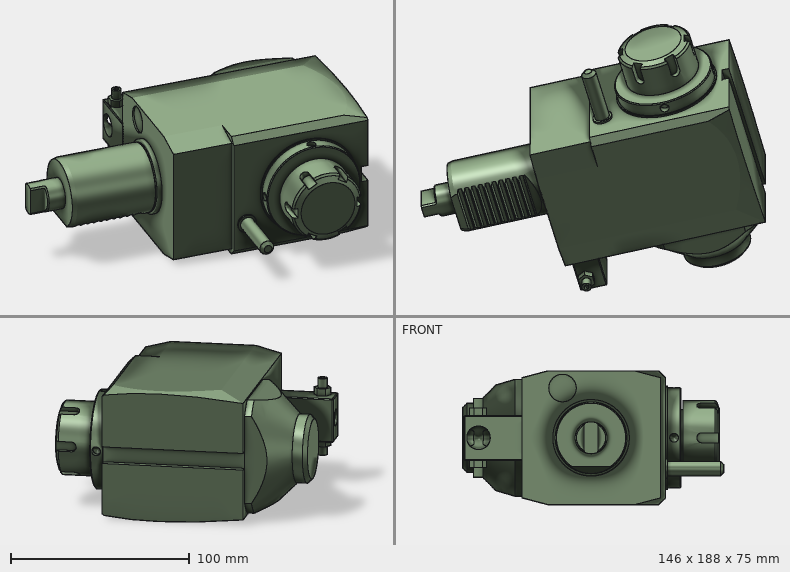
import cadquery as cq
import math


HOUSING_DEPTH = 115.8
HALF_HEIGHT = 75.0 / 2
SIDE_HALF_HEIGHT = 33.7
LEFT_X = -38.7
LEFT_BEVEL_X = -24.0
RIGHT_X = 41.7
RIGHT_BEVEL = 4.0
STEP_DEPTH = 35.2
REAR_CREST = (12.5, 36.8)
REAR_RIGHT_Z = 34.5
REAR_RUN = 26.3
REAR_SLOPE = 0.18
KEYWAY_WIDTH = 9.5
KEYWAY_DEPTH = 4.0
RECESS_X = -16.0
RECESS_Z = 27.8
RECESS_RADIUS = 7.7
RECESS_DEPTH = 1.0

SPINDLE_Y = 79.9
HOOD_RADIUS = 40.2
HOOD_RIM = 4.0
HOOD_TIP_RADIUS = 19.4
HOOD_LENGTH = 33.0
HOOD_TIP_CHAMFER = 2.5
HOOD_FLAT_Z = 32.7
HOOD_FLAT_TILT = 16.5
HOOD_REAR_FLAT = 31.4

FLANGE_RADIUS = 29.0
FLANGE_THICKNESS = 1.0
RING_RADIUS = 56.2 / 2
RING_WIDTH = 7.5
RING_CHAMFER = 0.5
RING_HOLE_RADIUS = 2.5
RING_HOLE_DEPTH = 3.8
RING_HOLE_CONE = 1.5
RING_HOLES = 4
NECK_RADIUS = 16.0
NECK_WIDTH = 1.1
NUT_RADIUS = 42.0 / 2
NUT_WIDTH = 20.5
NUT_NOSE_RADIUS = 16.2
NUT_NOSE_LENGTH = 1.3
NUT_CHAMFER = 1.1
NUT_SLOTS = 6
SLOT_WIDTH = 5.6
SLOT_LENGTH = 12.6
SLOT_DEPTH = 3.2

PIN_Y = 42.9
PIN_Z = -17.3
PIN_RADIUS = 4.1
PIN_END_X = 74.3
PIN_CHAMFER = 1.9
PIN_COLLAR_RADIUS = 5.5
PIN_COLLAR_WIDTH = 1.1

COLLAR_RADIUS = 21.5
COLLAR_WIDTH = 2.5
COLLAR_FILLET = 0.5
GROOVE_RADIUS = 19.7
GROOVE_END = 3.4
SHANK_RADIUS = 20.1
SHANK_LENGTH = 53.2
SHANK_CHAMFER_LENGTH = 2.8
SHANK_CHAMFER = 0.8
RACK_Z = -16.2
RACK_ROOT_Z = -14.5
RACK_START = 9.8
RACK_PITCH = 4.0
RACK_NOTCHES = 10
RACK_ROOT_WIDTH = 1.9
DRIVE_RADIUS = 17.9 / 2
DRIVE_LENGTH = 10.5
TANG_THICKNESS = 7.9
TANG_END = 72.2
TANG_FILLET = 0.8
TANG_CHAMFER = 0.8

BLOCK_X = -71.0
BLOCK_FRONT = 0.5
BLOCK_REAR = 15.8
BLOCK_HALF_HEIGHT = 12.6
BLOCK_CHAMFER = 0.5
SCREW_X = -63.2
SCREW_Y = 5.8
SCREW_RADIUS = 2.6
CLAMP_SCREW_TOP = 44.2 / 2
SOCKET_WIDTH = 3.0
SOCKET_DEPTH = 1.9
CLAMP_NUT_TOP = 16.7
CLAMP_NUT_FLATS = 8.3
NOZZLE_X = -63.0
NOZZLE_RADIUS = 6.5
NOZZLE_DEPTH = 7.9
NOZZLE_CONE = 6.5
PORT_Y = 7.5
PORT_RADIUS = 4.7
PORT_DEPTH = 15.5
PASSAGE_RADIUS = 1.3
PASSAGE_DEPTH = 1.9

EMBED = 1.9


def prism_y(points, y_start, y_end):
    """Extrude an XZ outline from y_start to y_end."""
    outline = cq.Workplane("XZ", origin=(0, y_start, 0)).polyline(points).close()
    return outline.extrude(y_start - y_end)


def box(x_range, y_range, z_range):
    """Block between two limits on each axis."""
    sizes = [high - low for low, high in (x_range, y_range, z_range)]
    corner = (x_range[0], y_range[0], z_range[0])
    return cq.Workplane("XY").box(*sizes, centered=False).translate(corner)


def turned_x(profile, y=0, z=0):
    """Solid turned about a line along X; profile is (x, radius) points from start to end."""
    axis_ends = [(x, 0) for x, radius in (profile[-1], profile[0]) if radius > 0]
    points = profile + axis_ends
    solid = cq.Workplane("XY").polyline(points).close().revolve(360, (0, 0), (1, 0))
    return solid.translate((0, y, z))


def turned_y(profile, x=0, z=0):
    """Solid turned about a line along Y; profile is (y, radius) points from start to end."""
    return turned_x(profile).rotate((0, 0, 0), (0, 0, 1), 90).translate((x, 0, z))


def with_mirror(solid):
    """The solid together with its reflection below Z = 0."""
    return solid.union(solid.mirror("XY"))


def rear_crown_cutter():
    """Material above the arched surface that slopes down to the rear face."""
    clearance = HALF_HEIGHT + 2 * EMBED
    left_end = (LEFT_X, SIDE_HALF_HEIGHT)
    right_end = (RIGHT_X, REAR_RIGHT_Z)
    crest_x, crest_z = REAR_CREST

    def halfway(end):
        """Point midway along a flat curve that leaves the crest level and drops to this end."""
        return (crest_x + end[0]) / 2, crest_z - (crest_z - end[1]) / 4

    profile = (
        cq.Workplane("XZ", origin=(0, HOUSING_DEPTH, 0))
        .moveTo(*left_end)
        .spline(
            [halfway(left_end), REAR_CREST, halfway(right_end), right_end],
            includeCurrent=True,
        )
        .lineTo(RIGHT_X, clearance)
        .lineTo(LEFT_X, clearance)
        .close()
    )
    path_end = (HOUSING_DEPTH - REAR_RUN, REAR_RUN * REAR_SLOPE)
    path = cq.Workplane("YZ").moveTo(HOUSING_DEPTH, 0).lineTo(*path_end)
    return profile.sweep(path)


def housing():
    """Bevelled housing, narrower ahead of the step, with a crowned rear and a keyway."""
    right_bevel_x = RIGHT_X - RIGHT_BEVEL
    upper = [
        (LEFT_X, SIDE_HALF_HEIGHT),
        (LEFT_BEVEL_X, HALF_HEIGHT),
        (right_bevel_x, HALF_HEIGHT),
        (RIGHT_X, SIDE_HALF_HEIGHT),
    ]
    lower = [(x, -z) for x, z in reversed(upper)]
    body = prism_y(upper + lower, STEP_DEPTH, HOUSING_DEPTH)

    front_upper = upper[:2] + [(-x, z) for x, z in reversed(upper[:2])]
    front_lower = [(x, -z) for x, z in reversed(front_upper)]
    body = body.union(prism_y(front_upper + front_lower, 0, STEP_DEPTH))

    body = body.cut(with_mirror(rear_crown_cutter()))

    keyway = box(
        (LEFT_X, RIGHT_X),
        (HOUSING_DEPTH - KEYWAY_DEPTH, HOUSING_DEPTH),
        (-KEYWAY_WIDTH / 2, KEYWAY_WIDTH / 2),
    )
    recess = turned_y([(0, RECESS_RADIUS), (RECESS_DEPTH, RECESS_RADIUS)], RECESS_X, RECESS_Z)
    return body.cut(keyway).cut(recess)


def hood():
    """Conical cover on the -X side, flattened above, below and at the rear."""
    tip_x = LEFT_X - HOOD_LENGTH
    rim_x = LEFT_X - HOOD_RIM
    cone_end_x = rim_x - (HOOD_RADIUS - HOOD_TIP_RADIUS)
    cover = turned_x(
        [
            (tip_x, HOOD_TIP_RADIUS - HOOD_TIP_CHAMFER),
            (tip_x + HOOD_TIP_CHAMFER, HOOD_TIP_RADIUS),
            (cone_end_x, HOOD_TIP_RADIUS),
            (rim_x, HOOD_RADIUS),
            (LEFT_X + EMBED, HOOD_RADIUS),
        ],
        SPINDLE_Y,
    )
    tip_flat_z = HOOD_FLAT_Z - (rim_x - tip_x) * math.tan(math.radians(HOOD_FLAT_TILT))
    flat_upper = [(tip_x, tip_flat_z), (rim_x, HOOD_FLAT_Z), (LEFT_X + EMBED, HOOD_FLAT_Z)]
    flat_lower = [(x, -z) for x, z in reversed(flat_upper)]
    envelope = prism_y(flat_upper + flat_lower, SPINDLE_Y - HOOD_RADIUS, SPINDLE_Y + HOOD_REAR_FLAT)
    return cover.intersect(envelope)


def ring_and_nut():
    """Bearing ring with spanner holes and slotted collet nut on the +X side."""
    ring_start = RIGHT_X + FLANGE_THICKNESS
    ring_end = ring_start + RING_WIDTH
    nut_start = ring_end + NECK_WIDTH
    nut_end = nut_start + NUT_WIDTH
    body = turned_x(
        [
            (RIGHT_X - EMBED, FLANGE_RADIUS),
            (ring_start, FLANGE_RADIUS),
            (ring_start, RING_RADIUS),
            (ring_end - RING_CHAMFER, RING_RADIUS),
            (ring_end, RING_RADIUS - RING_CHAMFER),
            (ring_end, NECK_RADIUS),
            (nut_start, NECK_RADIUS),
            (nut_start, NUT_RADIUS),
            (nut_end - NUT_NOSE_LENGTH - NUT_CHAMFER, NUT_RADIUS),
            (nut_end - NUT_NOSE_LENGTH, NUT_RADIUS - NUT_CHAMFER),
            (nut_end, NUT_NOSE_RADIUS),
        ]
    )

    hole_x = ring_start + RING_WIDTH / 2
    bottom = RING_RADIUS - RING_HOLE_DEPTH
    hole = turned_y(
        [
            (-RING_RADIUS, RING_HOLE_RADIUS),
            (-bottom, RING_HOLE_RADIUS),
            (-bottom + RING_HOLE_CONE, 0),
        ],
        hole_x,
    )
    for index in range(RING_HOLES):
        body = body.cut(hole.rotate((0, 0, 0), (1, 0, 0), index * 360 / RING_HOLES))

    end_x = nut_end - SLOT_LENGTH + SLOT_WIDTH / 2
    slot = (
        cq.Workplane("XZ", origin=(0, -NUT_RADIUS + SLOT_DEPTH, 0))
        .moveTo(nut_end, SLOT_WIDTH / 2)
        .lineTo(end_x, SLOT_WIDTH / 2)
        .threePointArc((end_x - SLOT_WIDTH / 2, 0), (end_x, -SLOT_WIDTH / 2))
        .lineTo(nut_end, -SLOT_WIDTH / 2)
        .close()
        .extrude(SLOT_DEPTH)
    )
    for index in range(NUT_SLOTS):
        body = body.cut(slot.rotate((0, 0, 0), (1, 0, 0), index * 360 / NUT_SLOTS))
    return body.translate((0, SPINDLE_Y, 0))


def stop_pin():
    """Pin with a collar, parallel to the spindle."""
    collar_end = RIGHT_X + PIN_COLLAR_WIDTH
    return turned_x(
        [
            (RIGHT_X - EMBED, PIN_COLLAR_RADIUS),
            (collar_end, PIN_COLLAR_RADIUS),
            (collar_end, PIN_RADIUS),
            (PIN_END_X - PIN_CHAMFER, PIN_RADIUS),
            (PIN_END_X, PIN_RADIUS - PIN_CHAMFER),
        ],
        PIN_Y,
        PIN_Z,
    )


def rack_cutter():
    """Flat with a 45 degree run-in and trapezoidal notches, cut into the underside of the shank."""
    run_in = SHANK_RADIUS + RACK_ROOT_Z
    outline = [
        (-RACK_START, RACK_ROOT_Z),
        (-RACK_START + run_in, -SHANK_RADIUS),
        (-SHANK_LENGTH, -SHANK_RADIUS),
        (-SHANK_LENGTH, RACK_Z),
        (-RACK_START - RACK_ROOT_WIDTH, RACK_Z),
    ]
    depth = RACK_ROOT_Z - RACK_Z
    half_root = RACK_ROOT_WIDTH / 2
    half_mouth = half_root + depth / 2
    plane = cq.Workplane("YZ", origin=(-SHANK_RADIUS, 0, 0))
    cutter = plane.polyline(outline).close().extrude(2 * SHANK_RADIUS)
    for index in range(RACK_NOTCHES):
        y = -RACK_START - RACK_PITCH * (index + 0.5)
        notch = [
            (y - half_root, RACK_ROOT_Z),
            (y + half_root, RACK_ROOT_Z),
            (y + half_mouth, RACK_Z),
            (y - half_mouth, RACK_Z),
        ]
        cutter = cutter.union(plane.polyline(notch).close().extrude(2 * SHANK_RADIUS))
    return cutter


def shank():
    """Toothed shank with a seal collar at its root."""
    body = turned_y(
        [
            (-SHANK_LENGTH, SHANK_RADIUS - SHANK_CHAMFER),
            (-SHANK_LENGTH + SHANK_CHAMFER_LENGTH, SHANK_RADIUS),
            (-GROOVE_END, SHANK_RADIUS),
            (-GROOVE_END, GROOVE_RADIUS),
            (EMBED, GROOVE_RADIUS),
        ]
    )
    collar = turned_y([(-COLLAR_WIDTH, COLLAR_RADIUS), (0, COLLAR_RADIUS)])
    body = body.union(collar.faces("<Y").edges().fillet(COLLAR_FILLET))
    return body.cut(rack_cutter())


def drive_tang():
    """Round drive end reduced to a flat tang."""
    shoulder = -SHANK_LENGTH - DRIVE_LENGTH
    body = turned_y([(-TANG_END, DRIVE_RADIUS), (-SHANK_LENGTH + EMBED, DRIVE_RADIUS)])
    for side in (-1, 1):
        inner = side * TANG_THICKNESS / 2
        outer = side * DRIVE_RADIUS
        relief = box(
            (min(inner, outer), max(inner, outer)),
            (-TANG_END, shoulder),
            (-DRIVE_RADIUS, DRIVE_RADIUS),
        )
        inner_edge = ">X" if side < 0 else "<X"
        body = body.cut(relief.edges(inner_edge + " and >Y").fillet(TANG_FILLET))
    tang_zone = cq.selectors.BoxSelector(
        (-TANG_THICKNESS, -TANG_END, -DRIVE_RADIUS),
        (TANG_THICKNESS, shoulder, DRIVE_RADIUS),
    )
    return body.edges("|Y").edges(tang_zone).chamfer(TANG_CHAMFER)


def coolant_block():
    """Block with a nozzle seat, a crossing port and a clamp screw with nut above and below."""
    block = box(
        (BLOCK_X, LEFT_X),
        (BLOCK_FRONT, BLOCK_REAR),
        (-BLOCK_HALF_HEIGHT, BLOCK_HALF_HEIGHT),
    )
    block = block.faces("<X").edges().chamfer(BLOCK_CHAMFER).edges("|X").chamfer(BLOCK_CHAMFER)

    seat_end = BLOCK_FRONT + NOZZLE_DEPTH
    nozzle = turned_y(
        [(BLOCK_FRONT, NOZZLE_RADIUS), (seat_end, NOZZLE_RADIUS), (seat_end + NOZZLE_CONE, 0)],
        NOZZLE_X,
    )
    port_end = BLOCK_X + PORT_DEPTH
    port = turned_x(
        [
            (BLOCK_X, PORT_RADIUS),
            (port_end, PORT_RADIUS),
            (port_end, PASSAGE_RADIUS),
            (port_end + PASSAGE_DEPTH, PASSAGE_RADIUS),
        ],
        PORT_Y,
    )
    block = block.cut(nozzle).cut(port)

    top = cq.Workplane("XY", origin=(SCREW_X, SCREW_Y, BLOCK_HALF_HEIGHT - EMBED))
    nut_corners = CLAMP_NUT_FLATS / math.cos(math.radians(30))
    nut = top.polygon(6, nut_corners).extrude(CLAMP_NUT_TOP - BLOCK_HALF_HEIGHT + EMBED)
    screw = top.circle(SCREW_RADIUS).extrude(CLAMP_SCREW_TOP - BLOCK_HALF_HEIGHT + EMBED)
    screw = screw.faces(">Z").workplane().polygon(6, SOCKET_WIDTH).cutBlind(-SOCKET_DEPTH)
    return block.union(with_mirror(nut.union(screw)))


result = (
    housing()
    .union(hood())
    .union(ring_and_nut())
    .union(stop_pin())
    .union(shank())
    .union(drive_tang())
    .union(coolant_block())
)